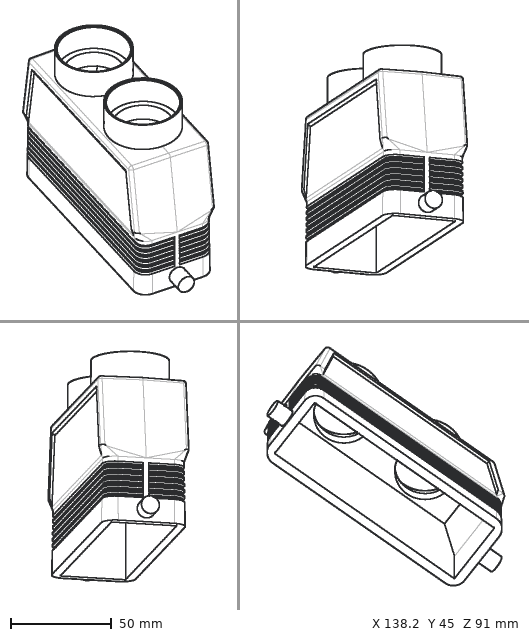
import cadquery as cq
import math

BASE_HALF_X = 60.1
BASE_HALF_Y = 21.3
BASE_CORNER_R = 6.9
DRAFT_ANGLE = 0.9
WAIST_Z = 32.9
DRAFT = math.tan(math.radians(DRAFT_ANGLE))

GROOVE_COUNT = 6
GROOVE_START_Z = 12.3
GROOVE_END_Z = 30.3
GROOVE_DEPTH = 1.0
GROOVE_SLOPE_HEIGHT = 0.8
RIB_LAND = 0.7
GROOVE_PITCH = (GROOVE_END_Z - GROOVE_START_Z + RIB_LAND) / GROOVE_COUNT
GROOVE_HEIGHT = GROOVE_PITCH - RIB_LAND
END_STRIP_WIDTH = 2.9

HOOD_HALF_Y = 22.5
HOOD_LOW_Z = 38.8
HOOD_TOP_Z = 76.0
END_SLOPE = 0.17
HOOD_FILLET = 1.8
TRIM_ALLOWANCE = 1.4

PANEL_DEPTH = 1.2
PANEL_TOP_Z = 70.9
PANEL_TOP_HALF_X = 48.0
PANEL_WALL_TOP = 1.4
PANEL_WALL_SIDE = 0.7

COLLAR_SPACING = 50.0
COLLAR_D = 39.0
COLLAR_TOP_Z = 91.0
COLLAR_BORE_D = 36.5
COLLAR_BORE_DEPTH = 13.5
COLLAR_CHAMFER = 0.5
ENTRY_D = 30.0

PIN_D = 9.1
PIN_Z = 6.5
PIN_SPAN = 138.2

CAVITY_TOP_Z = 68.8
WALL = 4.1


def base_inset(z):
    """Inward shift of the drafted base wall at height z."""
    return z * DRAFT


WAIST_HALF_X = BASE_HALF_X - base_inset(WAIST_Z)
WAIST_HALF_Y = BASE_HALF_Y - base_inset(WAIST_Z)


def base_section(z, depth=0.0):
    """Rounded base outline at height z, moved inward by depth."""
    inset = base_inset(z) + depth
    outline = cq.Sketch().rect(2 * (BASE_HALF_X - inset), 2 * (BASE_HALF_Y - inset))
    return outline.vertices().fillet(BASE_CORNER_R - inset)


def loft_between(low_z, low_sketch, high_z, high_sketch):
    """Straight-sided solid between two horizontal outlines."""
    low = low_sketch.moved(cq.Location(cq.Vector(0, 0, low_z)))
    high = high_sketch.moved(cq.Location(cq.Vector(0, 0, high_z)))
    return cq.Workplane("XY").placeSketch(low, high).loft(ruled=True)


def base_block(low_z, high_z, low_depth=0.0, high_depth=0.0):
    """Slice of the base, moved inward by its own depth at each end."""
    low = base_section(low_z, low_depth)
    high = base_section(high_z, high_depth)
    return loft_between(low_z, low, high_z, high)


def box_between(half_x, half_y, low_z, high_z):
    """Box centred on the Z axis between two heights."""
    plane = cq.Workplane("XY").workplane(offset=low_z)
    return plane.rect(2 * half_x, 2 * half_y).extrude(high_z - low_z)


def grip_groove(low_z):
    """Ring-shaped groove with sloping sides, interrupted by the strip on each end."""
    high_z = low_z + GROOVE_HEIGHT
    floor_low_z = low_z + GROOVE_SLOPE_HEIGHT
    floor_high_z = high_z - GROOVE_SLOPE_HEIGHT
    core = base_block(low_z, floor_low_z, 0, GROOVE_DEPTH)
    core = core.union(base_block(floor_low_z, floor_high_z, GROOVE_DEPTH, GROOVE_DEPTH))
    core = core.union(base_block(floor_high_z, high_z, GROOVE_DEPTH, 0))
    ring = box_between(BASE_HALF_X, BASE_HALF_Y, low_z, high_z).cut(core)
    strip_half_y = END_STRIP_WIDTH / 2
    return ring.cut(box_between(BASE_HALF_X, strip_half_y, low_z, high_z))


def end_half_x(z):
    """Half length of the hood at mid-width, at height z."""
    return WAIST_HALF_X - END_SLOPE * (z - WAIST_Z)


def trapezoid(low_z, high_z, margin=0.0):
    """Front outline of the hood, moved inward at both ends by margin."""
    low_x = end_half_x(low_z) - margin
    high_x = end_half_x(high_z) - margin
    points = [(-low_x, low_z), (low_x, low_z), (high_x, high_z), (-high_x, high_z)]
    return cq.Workplane("XZ").polyline(points).close()


def front_half():
    """Front half of the drafted trapezoid, widest at the mid plane."""
    start_z = WAIST_Z - TRIM_ALLOWANCE
    return trapezoid(start_z, HOOD_TOP_Z).extrude(HOOD_HALF_Y, taper=DRAFT_ANGLE)


def with_back(front):
    """Front half joined to its mirror image."""
    return front.union(front.mirror("XZ"))


def hood():
    """Upper body with rounded top and corner edges."""
    front = front_half().intersect(box_between(WAIST_HALF_X, HOOD_HALF_Y, HOOD_LOW_Z, HOOD_TOP_Z))
    end_and_front_edges = front.edges("(not #Y) or <Y")
    front = end_and_front_edges.edges("not <Z").fillet(HOOD_FILLET)
    return with_back(front)


def end_wedges():
    """Middle of the end faces, carried down between the rounded flare corners."""
    low_y = WAIST_HALF_Y - BASE_CORNER_R
    high_y = WAIST_HALF_Y
    points = [(-low_y, WAIST_Z), (low_y, WAIST_Z), (high_y, HOOD_LOW_Z), (-high_y, HOOD_LOW_Z)]
    middle = cq.Workplane("YZ").polyline(points).close().extrude(WAIST_HALF_X, both=True)
    return with_back(front_half()).intersect(middle)


def flare():
    """Transition from the rounded waist to the sharper-cornered hood."""
    half_x = end_half_x(HOOD_LOW_Z) - DRAFT * HOOD_HALF_Y
    top = cq.Sketch().rect(2 * half_x, 2 * HOOD_HALF_Y).vertices().fillet(HOOD_FILLET)
    return loft_between(WAIST_Z, base_section(WAIST_Z), HOOD_LOW_Z, top)


def panel_outline(y, top_z, top_half_x):
    """Trapezoid at depth y with sides parallel to the hood ends."""
    low_half_x = top_half_x + END_SLOPE * (top_z - WAIST_Z)
    points = [(-low_half_x, WAIST_Z), (low_half_x, WAIST_Z), (top_half_x, top_z), (-top_half_x, top_z)]
    corners = [cq.Vector(x, y, z) for x, z in points]
    return cq.Wire.makePolygon(corners, close=True)


def front_panel():
    """Recess that runs out at the bottom through the flare."""
    mouth = panel_outline(-HOOD_HALF_Y, PANEL_TOP_Z, PANEL_TOP_HALF_X)
    floor_top_z = PANEL_TOP_Z - PANEL_WALL_TOP
    floor_half_x = PANEL_TOP_HALF_X + END_SLOPE * PANEL_WALL_TOP - PANEL_WALL_SIDE
    floor = panel_outline(PANEL_DEPTH - HOOD_HALF_Y, floor_top_z, floor_half_x)
    return cq.Workplane(cq.Solid.makeLoft([mouth, floor], True))


def upright_cylinders(diameter, low_z, high_z):
    """One cylinder at each cable entry."""
    centres = [(-COLLAR_SPACING / 2, 0), (COLLAR_SPACING / 2, 0)]
    plane = cq.Workplane("XY").workplane(offset=low_z)
    return plane.pushPoints(centres).circle(diameter / 2).extrude(high_z - low_z)


def cavity():
    """Plain hollow that follows the base and the sloping ends."""
    half_y = WAIST_HALF_Y - WALL
    lower = box_between(WAIST_HALF_X - WALL, half_y, 0, WAIST_Z)
    upper = trapezoid(WAIST_Z, CAVITY_TOP_Z, WALL).extrude(half_y, both=True)
    return lower.union(upper)


body = base_block(0, WAIST_Z)
for index in range(GROOVE_COUNT):
    body = body.cut(grip_groove(GROOVE_START_Z + index * GROOVE_PITCH))
body = body.union(flare()).union(end_wedges()).union(hood())

panel = front_panel()
body = body.cut(panel).cut(panel.mirror("XZ"))

body = body.union(upright_cylinders(COLLAR_D, CAVITY_TOP_Z, COLLAR_TOP_Z))
body = body.cut(cavity())
body = body.cut(upright_cylinders(ENTRY_D, CAVITY_TOP_Z, COLLAR_TOP_Z))
ledge_z = COLLAR_TOP_Z - COLLAR_BORE_DEPTH
body = body.cut(upright_cylinders(COLLAR_BORE_D, ledge_z, COLLAR_TOP_Z))
collar_mouths = body.faces(">Z").edges(cq.selectors.RadiusNthSelector(0))
body = collar_mouths.chamfer(COLLAR_CHAMFER)

pin_inner_x = WAIST_HALF_X - WALL
pin_length = PIN_SPAN / 2 - pin_inner_x
pin_plane = cq.Workplane("YZ").workplane(offset=pin_inner_x)
pin = pin_plane.center(0, PIN_Z).circle(PIN_D / 2).extrude(pin_length)
result = body.union(pin).union(pin.mirror("YZ"))